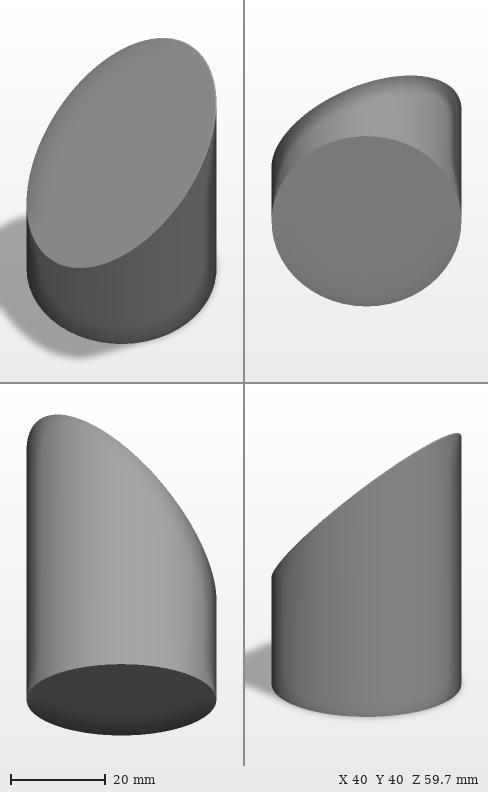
import cadquery as cq
import math

diameter = 40.0
height = 59.7
edge_round = 0.2

radius = diameter / 2
tip_height = height + math.sqrt(2) * edge_round
low_height = tip_height - diameter

cylinder = cq.Workplane("XY").circle(radius).extrude(tip_height)

wedge = (
    cq.Workplane("YZ")
    .polyline([(-radius, 0), (radius, 0), (radius, tip_height), (-radius, low_height)])
    .close()
    .extrude(radius, both=True)
)
body = cylinder.intersect(wedge)

result = body.faces(cq.DirectionMinMaxSelector(cq.Vector(0, -1, 1))).edges().fillet(edge_round)